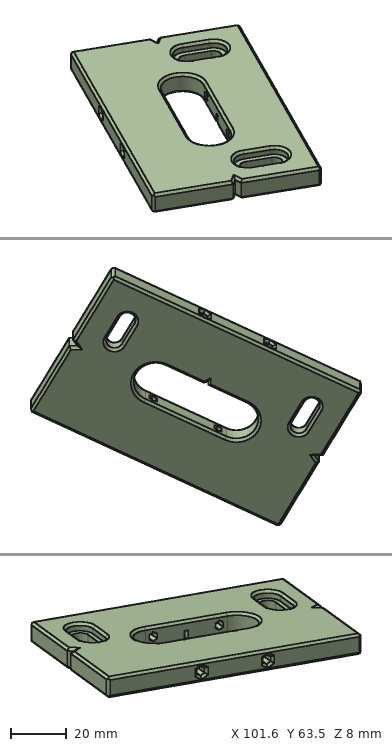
import cadquery as cq
import math

length = 101.6
width = 63.5
thickness = 8.0
chamfer = 1.0
chamfer_angle = 45

opening_length = 48.6
opening_width = 15.7

slot_offset_x = 37.5
slot_offset_y = 13.0
slot_length = 15.7
slot_width = 6.0
seat_length = 20.0
seat_width = 10.0
seat_depth = 3.0

v_half_angle = math.radians(30)
notch_depth = 2.5

hex_offset_x = 13.2
hex_diameter = 3.6

groove_depth = 1.3
groove_top = 4.2


def plate():
    """Block with all twelve edges chamfered, so that the chamfers meet in sharp corners."""
    block = cq.Workplane("XY").box(length, width, thickness)
    bars = [block.edges("|" + axis).chamfer(chamfer) for axis in "XYZ"]
    return bars[0].intersect(bars[1]).intersect(bars[2]).translate((0, 0, thickness / 2))


def slot_profile(center, slot_size, angle, z):
    return cq.Workplane("XY", origin=(*center, z)).slot2D(*slot_size, angle)


def slot_cutter(center, slot_size, angle, floor, top):
    return slot_profile(center, slot_size, angle, floor).extrude(top - floor)


def slot_countersink(center, slot_size, angle, face_z, direction):
    """Tapered cutter that chamfers the rim of a slot, going from face_z along +Z or -Z."""
    rim_size = [size + 2 * chamfer for size in slot_size]
    return slot_profile(center, rim_size, angle, face_z).extrude(direction * chamfer, taper=chamfer_angle)


def opening():
    slot = ((0, 0), (opening_length, opening_width), 0)
    cutter = slot_cutter(*slot, 0, thickness)
    return cutter.union(slot_countersink(*slot, 0, 1)).union(slot_countersink(*slot, thickness, -1))


def counterbored_slot(side):
    center = (side * slot_offset_x, slot_offset_y)
    slot = (center, (slot_length, slot_width), 90)
    seat = (center, (seat_length, seat_width), 90)
    cutter = slot_cutter(*slot, 0, thickness).union(slot_countersink(*slot, 0, 1))
    cutter = cutter.union(slot_cutter(*seat, thickness - seat_depth, thickness))
    return cutter.union(slot_countersink(*seat, thickness, -1))


def v_profile(depth, z):
    """Triangle with its point at +Y, its mouth drawn past Y = 0 so that it cuts cleanly."""
    overrun = 1.0
    half_mouth = (depth + overrun) * math.tan(v_half_angle)
    corners = [(-half_mouth, -overrun), (half_mouth, -overrun), (0, depth)]
    return cq.Workplane("XY", origin=(0, 0, z)).polyline(corners).close()


def v_cutter(depth, top):
    return v_profile(depth, 0).extrude(top)


def v_countersink(depth, face_z, direction):
    """Tapered cutter that chamfers the rim of a V notch, going from face_z along +Z or -Z."""
    rim_depth = depth + chamfer / math.sin(v_half_angle)
    return v_profile(rim_depth, face_z).extrude(direction * chamfer, taper=chamfer_angle)


def end_notch(side):
    cutter = v_cutter(notch_depth, thickness).union(v_countersink(notch_depth, 0, 1))
    cutter = cutter.union(v_countersink(notch_depth, thickness, -1))
    cutter = cutter.rotate((0, 0, 0), (0, 0, 1), side * 90)
    return cutter.translate((side * length / 2, 0, 0))


def hex_hole(side):
    """Hexagonal hole through both long walls, countersunk at the front and back faces."""
    middle = cq.Workplane("XZ", origin=(side * hex_offset_x, 0, thickness / 2))
    middle = middle.transformed(rotate=(0, 0, 90))
    rim_diameter = hex_diameter + 2 * chamfer / math.cos(math.pi / 6)
    cutter = middle.polygon(6, hex_diameter).extrude(width, both=True)
    for face in (-1, 1):
        rim = middle.workplane(offset=face * width / 2).polygon(6, rim_diameter)
        cutter = cutter.union(rim.extrude(-face * chamfer, taper=chamfer_angle))
    return cutter


def wall_groove():
    cutter = v_cutter(groove_depth, groove_top).union(v_countersink(groove_depth, 0, 1))
    return cutter.translate((0, opening_width / 2, 0))


result = plate().cut(opening()).cut(wall_groove())
for side in (-1, 1):
    result = result.cut(counterbored_slot(side)).cut(end_notch(side)).cut(hex_hole(side))